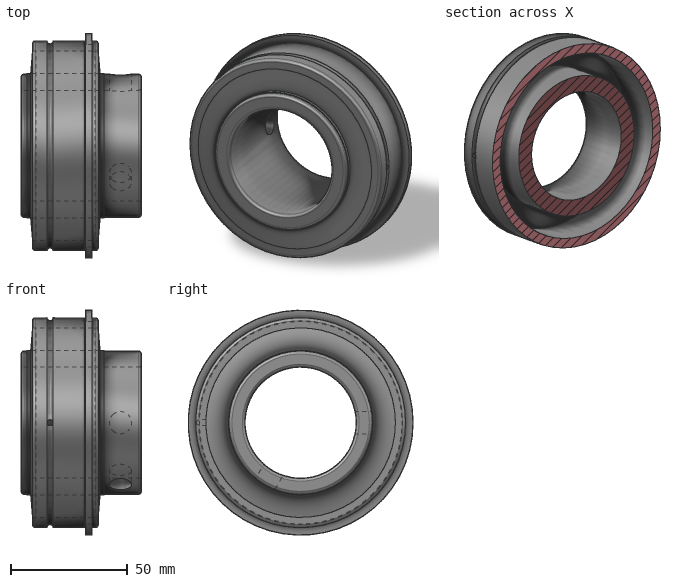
import cadquery as cq
import math


edge_radius = 1.27

outer_diameter = 90.0
outer_ring_bore = 81.28
outer_ring_width = 28.2
oil_groove_x = -6.55
oil_groove_diameter = 2.54
oil_hole_diameter = oil_groove_diameter

snap_ring_diameter = 96.5
snap_ring_width = 2.7
snap_groove_diameter = 86.89
snap_groove_width = 3.25
snap_groove_end_x = 11.36

bore_diameter = 47.62
inner_ring_length = 51.6
inner_ring_start_x = -19.0
shoulder_diameter = 61.98
shoulder_width = 33.1
end_diameter = 61.47
set_screw_diameter = 9.53
set_screw_x = 23.6
set_screw_angles = (0, 240)

seal_bulge = 0.8
seal_rim_thickness = 1.5


def ring(start_x, width, outside, inside):
    """Plain ring around the X axis."""
    return (
        cq.Workplane("YZ", origin=(start_x, 0, 0))
        .circle(outside / 2)
        .circle(inside / 2)
        .extrude(width)
    )


def radial_drill(x, diameter, angle):
    """Drill that runs outward from the X axis; the angle goes from +Y toward +Z."""
    turn = math.radians(angle)
    direction = cq.Vector(0, math.cos(turn), math.sin(turn))
    drill = cq.Solid.makeCylinder(diameter / 2, outer_diameter, cq.Vector(x, 0, 0), direction)
    return cq.Workplane(drill)


def make_outer_ring():
    body = ring(-outer_ring_width / 2, outer_ring_width, outer_diameter, outer_ring_bore)
    outside_edges = cq.selectors.RadiusNthSelector(-1)
    body = body.edges(outside_edges).fillet(edge_radius)

    oil_groove = cq.Workplane(
        cq.Solid.makeTorus(
            outer_diameter / 2,
            oil_groove_diameter / 2,
            cq.Vector(oil_groove_x, 0, 0),
            cq.Vector(1, 0, 0),
        )
    )
    oil_hole = radial_drill(oil_groove_x, oil_hole_diameter, 180)
    snap_groove = ring(
        snap_groove_end_x - snap_groove_width,
        snap_groove_width,
        snap_ring_diameter,
        snap_groove_diameter,
    )
    return body.cut(oil_groove).cut(oil_hole).cut(snap_groove)


def make_snap_ring():
    start_x = snap_groove_end_x - snap_ring_width
    return ring(start_x, snap_ring_width, snap_ring_diameter, snap_groove_diameter)


def make_inner_ring():
    body = ring(inner_ring_start_x, inner_ring_length, end_diameter, bore_diameter)
    body = body.edges().fillet(edge_radius)
    shoulder = ring(-shoulder_width / 2, shoulder_width, shoulder_diameter, bore_diameter)
    body = body.union(shoulder)
    for angle in set_screw_angles:
        body = body.cut(radial_drill(set_screw_x, set_screw_diameter, angle))
    return body


def make_seal(side):
    """Seal that fills the gap between the rings; side is -1 or 1 along X."""
    rim_x = outer_ring_width / 2
    back_x = rim_x - seal_rim_thickness
    lip_x = rim_x + seal_bulge
    outline = [
        (side * back_x, shoulder_diameter / 2),
        (side * lip_x, shoulder_diameter / 2),
        (side * rim_x, outer_ring_bore / 2),
        (side * back_x, outer_ring_bore / 2),
    ]
    return cq.Workplane("XY").polyline(outline).close().revolve(360, (0, 0, 0), (1, 0, 0))


outer_ring = make_outer_ring()
snap_ring = make_snap_ring()
inner_ring = make_inner_ring()
seals = [make_seal(side) for side in (-1, 1)]

result = cq.Compound.makeCompound(
    [outer_ring.val(), snap_ring.val(), inner_ring.val(), *[seal.val() for seal in seals]]
)